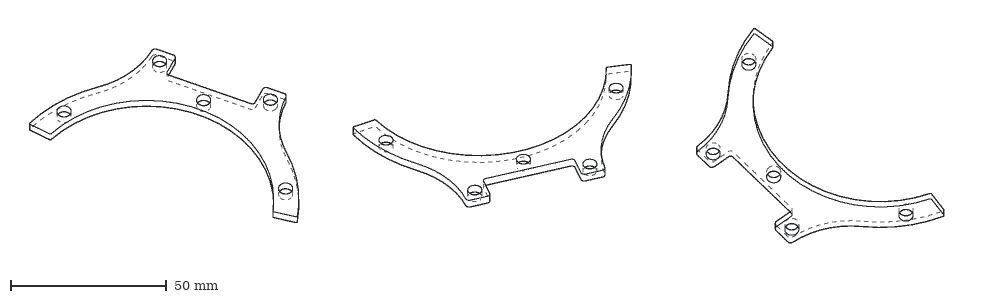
import cadquery as cq
import math

thickness = 3.0
span = 94.05
inner_radius = 40.8
outer_radius = 48.9

top_y = 57.9
notch_floor_y = 49.75
notch_half_width = 15.4
ear_outer_x = 23.5
flank_radius = 30.0
ear_corner_radius = 1.1
notch_corner_radius = 0.9

overall_depth = 46.0
inner_corner_loss = 0.075
outer_corner_loss = 0.12
foot_inner_y = top_y - overall_depth - inner_corner_loss
foot_outer_x = span / 2 + outer_corner_loss
foot_corner_radius = 0.5

hole_diameter = 4.5
arch_hole_radius = (inner_radius + outer_radius) / 2
ear_hole_x = 19.5
ear_hole_y = 53.8
foot_hole_x = 2 * ear_hole_x


def on_circle(radius, offset):
    """Second coordinate of a point on a circle about the origin."""
    return math.sqrt(radius**2 - offset**2)


def polar(radius, angle):
    """Point at a distance and an angle (radians) from the origin."""
    return (radius * math.cos(angle), radius * math.sin(angle))


def half_plate():
    """Half of the bracket, on the +X side."""
    foot_inner_x = on_circle(inner_radius, foot_inner_y)
    foot_outer_y = on_circle(outer_radius, foot_outer_x)

    flank_angle = math.atan2(top_y, ear_outer_x + flank_radius)
    flank_end = polar(outer_radius, flank_angle)
    foot_angle = math.atan2(foot_outer_y, foot_outer_x)
    rim_middle = polar(outer_radius, (foot_angle + flank_angle) / 2)
    arch_middle = polar(inner_radius, math.pi / 4)

    plate = (
        cq.Workplane("XY")
        .moveTo(0, inner_radius)
        .threePointArc(arch_middle, (foot_inner_x, foot_inner_y))
        .lineTo(foot_outer_x, foot_outer_y)
        .threePointArc(rim_middle, flank_end)
        .radiusArc((ear_outer_x, top_y), flank_radius)
        .lineTo(notch_half_width, top_y)
        .lineTo(notch_half_width, notch_floor_y)
        .lineTo(0, notch_floor_y)
        .close()
        .extrude(thickness)
    )

    rounded_corners = [
        ((ear_outer_x, top_y), ear_corner_radius),
        ((notch_half_width, top_y), ear_corner_radius),
        ((notch_half_width, notch_floor_y), notch_corner_radius),
        ((foot_inner_x, foot_inner_y), foot_corner_radius),
        ((foot_outer_x, foot_outer_y), foot_corner_radius),
    ]
    for (x, y), radius in rounded_corners:
        corner = cq.selectors.NearestToPointSelector((x, y, thickness / 2))
        plate = plate.edges("|Z").edges(corner).fillet(radius)
    return plate


def hole_centers():
    """The middle hole of the arch, then the ear and foot holes on both sides."""
    foot_hole_y = on_circle(arch_hole_radius, foot_hole_x)
    centers = [(0, arch_hole_radius)]
    for side in (-1, 1):
        centers.append((side * ear_hole_x, ear_hole_y))
        centers.append((side * foot_hole_x, foot_hole_y))
    return centers


half = half_plate()
plate = half.union(half.mirror("YZ")).clean()
holes = cq.Workplane("XY").pushPoints(hole_centers()).circle(hole_diameter / 2).extrude(thickness)
result = plate.cut(holes)